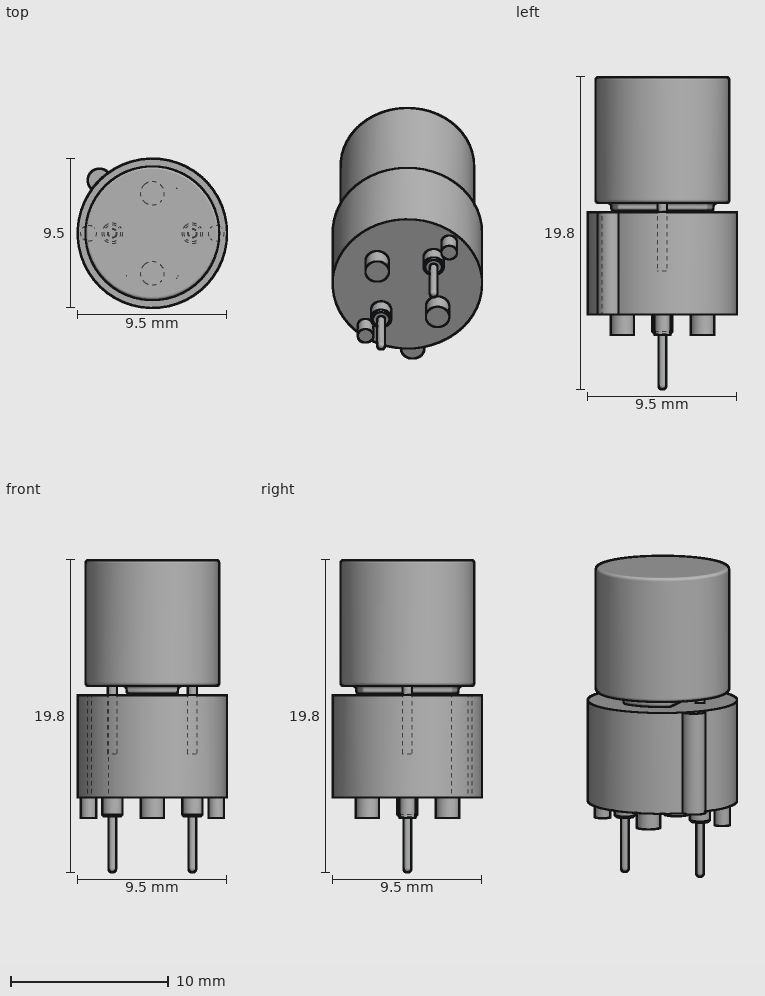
import cadquery as cq
import math


holder_diameter = 9.5
holder_height = 6.5
foot_length = 1.3
pin_spacing = 5.08
pin_offset = pin_spacing / 2
side_foot_diameter = 1.0
side_foot_offset = 4.05
end_foot_diameter = 1.5
end_foot_offset = pin_offset
collar_diameter = 1.3
collar_length = 1.18
collar_chamfer = 0.12
pin_diameter = 0.5
pin_length = 4.75

key_radius = 0.75
key_offset = holder_diameter / 2 * math.cos(math.radians(45))

can_diameter = 8.5
can_height = 8.0
can_fillet = 0.2
standoff_gap = 0.08
standoff_height = 0.5
standoff_width = 3.28
standoff_end_diameter = 6.5
standoff_corner_radius = 0.2
standoff_foot_fillet = 0.2
standoff_root_fillet = 0.22
lead_diameter = 0.6
lead_length = 4.3

standoff_bottom = holder_height + standoff_gap
can_bottom = standoff_bottom + standoff_height
lead_bottom = can_bottom - lead_length
pin_tip_center = pin_diameter / 2 - pin_length

selection_margin = 0.01

pin_points = [(-pin_offset, 0), (pin_offset, 0)]
side_foot_points = [(-side_foot_offset, 0), (side_foot_offset, 0)]
end_foot_points = [(0, -end_foot_offset), (0, end_foot_offset)]


def cylinder(diameter, bottom, top, point=(0, 0)):
    """Upright cylinder between two heights."""
    return cq.Workplane("XY", origin=(*point, bottom)).circle(diameter / 2).extrude(top - bottom)


def make_leads():
    """Both fuse leads, which also give the shape of their sockets."""
    leads = cq.Workplane("XY", origin=(0, 0, lead_bottom)).pushPoints(pin_points)
    return leads.circle(lead_diameter / 2).extrude(lead_length)


def make_holder():
    """Drum with its feet, collars and pins, and a socket for each fuse lead."""
    holder = cylinder(holder_diameter, 0, holder_height)
    for point in side_foot_points:
        holder = holder.union(cylinder(side_foot_diameter, -foot_length, 0, point))
    for point in end_foot_points:
        holder = holder.union(cylinder(end_foot_diameter, -foot_length, 0, point))
    for point in pin_points:
        collar = cylinder(collar_diameter, -collar_length, 0, point)
        collar = collar.faces("<Z").edges().chamfer(collar_chamfer)
        pin = cylinder(pin_diameter, pin_tip_center, 0, point)
        pin_tip = cq.Workplane("XY", origin=(*point, pin_tip_center)).sphere(pin_diameter / 2)
        holder = holder.union(collar).union(pin).union(pin_tip)
    sockets = make_leads()
    return holder.cut(sockets)


def make_key():
    """Part of the round bar that stands outside the drum."""
    bar = cylinder(2 * key_radius, 0, holder_height, (-key_offset, key_offset))
    return bar.cut(cylinder(holder_diameter, 0, holder_height))


def make_standoff():
    """Disc with two flat sides and rounded upright corners."""
    disc = cylinder(standoff_end_diameter, standoff_bottom, can_bottom)
    slab = cq.Workplane("XY", origin=(0, 0, standoff_bottom))
    slab = slab.rect(standoff_width, standoff_end_diameter).extrude(standoff_height)
    return disc.intersect(slab).edges("|Z").fillet(standoff_corner_radius)


def make_fuse():
    """Can, standoff and leads as one body."""
    can = cylinder(can_diameter, can_bottom, can_bottom + can_height).edges("%CIRCLE").fillet(can_fillet)
    fuse = can.union(make_standoff())

    reach = (standoff_end_diameter + can_diameter - 2 * can_fillet) / 4
    standoff_root = cq.selectors.BoxSelector(
        (-reach, -reach, can_bottom - selection_margin),
        (reach, reach, can_bottom + selection_margin),
        boundingbox=True,
    )
    fuse = fuse.edges(standoff_root).fillet(standoff_root_fillet)
    fuse = fuse.faces("<Z").edges().fillet(standoff_foot_fillet)
    return fuse.union(make_leads())


holder = make_holder()
key = make_key()
fuse = make_fuse()

result = cq.Compound.makeCompound([holder.val(), key.val(), fuse.val()])